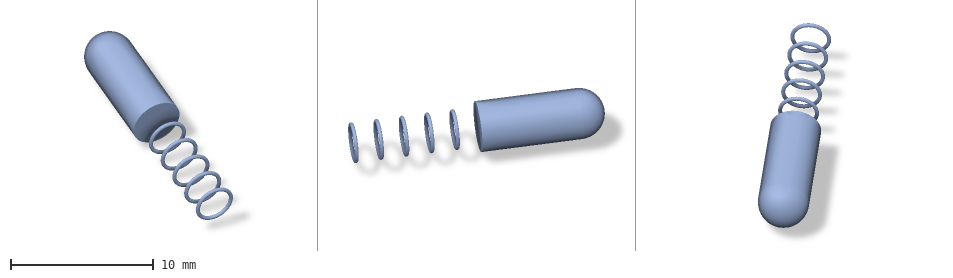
import cadquery as cq
import math

overall_length = 18.0

plunger_length = 9.0
plunger_radius = 1.8

ring_count = 5
ring_pitch = 1.8
ring_outer_radius = 1.44
wire_radius = 0.14
ring_mean_radius = ring_outer_radius - wire_radius
last_ring_x = overall_length - wire_radius
first_ring_x = last_ring_x - (ring_count - 1) * ring_pitch


def make_plunger():
    """Revolve the half profile of the round-nosed plunger about the X axis."""
    nose_mid_offset = plunger_radius * math.sqrt(0.5)
    return (
        cq.Workplane("XY")
        .moveTo(0, 0)
        .threePointArc(
            (plunger_radius - nose_mid_offset, nose_mid_offset),
            (plunger_radius, plunger_radius),
        )
        .lineTo(plunger_length, plunger_radius)
        .lineTo(plunger_length, 0)
        .close()
        .revolve(360, (0, 0), (1, 0))
    )


def make_ring(center_x):
    """Make one closed wire ring, centred on the X axis at center_x."""
    return (
        cq.Workplane("XY")
        .center(center_x, ring_mean_radius)
        .circle(wire_radius)
        .revolve(360, (0, -ring_mean_radius), (1, -ring_mean_radius))
    )


plunger = make_plunger()
rings = [make_ring(first_ring_x + index * ring_pitch) for index in range(ring_count)]

result = cq.Compound.makeCompound([plunger.val(), *[ring.val() for ring in rings]])